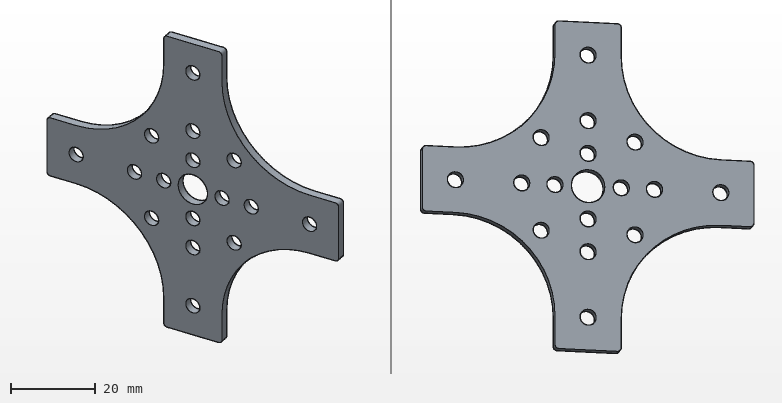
import cadquery as cq

span = 80.0
arm_width = 16.0
thickness = 2.3
inner_radius = 24.0
corner_radius = 1.0
center_bore = 8.0
hole_diameter = 3.8
inner_circle_radius = 8.0
middle_circle_radius = 16.0
outer_circle_radius = 32.0


def back_face():
    """Sketch plane on the +Y face, extruding towards -Y."""
    return cq.Workplane("XZ", origin=(0, thickness / 2, 0))


def cross_plate():
    """Four-armed plate in the XZ plane, centred on the origin."""
    upright = back_face().rect(arm_width, span).extrude(thickness)
    crossbar = back_face().rect(span, arm_width).extrude(thickness)
    upright = upright.edges("|Y").fillet(corner_radius)
    crossbar = crossbar.edges("|Y").fillet(corner_radius)
    corner_box = cq.selectors.BoxSelector(
        (-arm_width, -thickness, -arm_width),
        (arm_width, thickness, arm_width),
    )
    return upright.union(crossbar).edges("|Y").edges(corner_box).fillet(inner_radius)


def hole_ring(ring_radius, count):
    """Through-hole cutters equally spaced on a circle, the first one on +X."""
    return (
        back_face()
        .polarArray(ring_radius, 0, 360, count)
        .circle(hole_diameter / 2)
        .extrude(thickness)
    )


result = cross_plate()
result = result.cut(back_face().circle(center_bore / 2).extrude(thickness))
for ring_radius, count in (
    (inner_circle_radius, 4),
    (middle_circle_radius, 8),
    (outer_circle_radius, 4),
):
    result = result.cut(hole_ring(ring_radius, count))